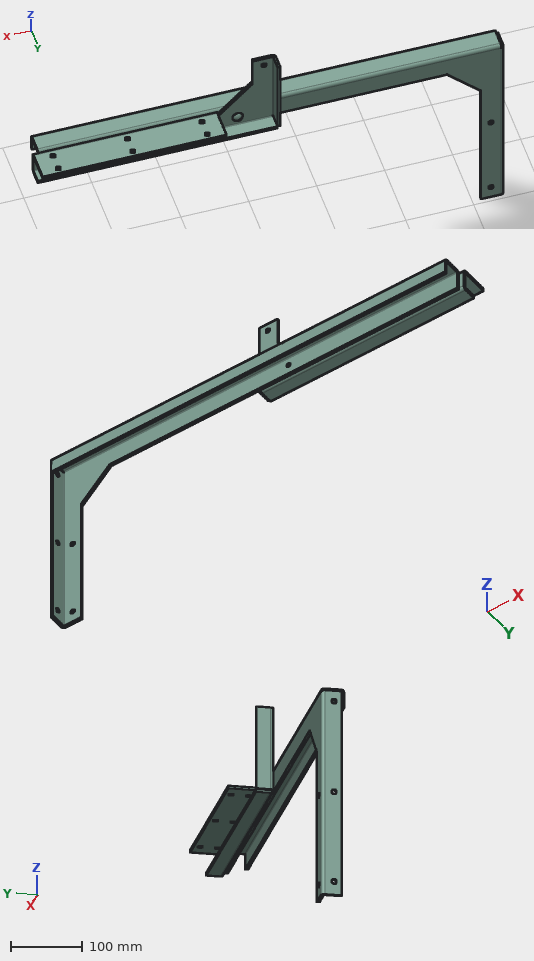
import cadquery as cq

sheet = 4.0
bend_radius = 5.0
hole_diameter = 7.0

length = 694.0
arm_top = 309.0
joint_y = 33.0

arm_end = 685.5
arm_start = 3.5
arm_height = 35.0
lip_height = 26.5
leg_width = 34.0
leg_flange_depth = 29.0
leg_flange_top = arm_top - sheet
leg_gusset = 50.0
leg_web_hole_offset = 19.5
leg_flange_hole_offset = 18.0
leg_hole_heights = [20.0, 154.0]
end_hole_height = 289.0

post_left = 337.0
post_top = 398.0
post_width = 34.0
gusset_top = 352.5
shelf_left = 423.0
shelf_depth = 48.0
stiffener_depth = 25.0
shelf_bottom = 272.0
post_hole_offset = 17.0
post_hole_drop = 13.0

shelf_hole_columns = 3
shelf_hole_pitch = 109.5
shelf_hole_first = 449.0
shelf_hole_rows = [47.0, 72.0]

rivet_x = 393.5
rivet_z = 291.0
rivet_shank_diameter = 6.0
rivet_head_diameter = 15.0
rivet_head_height = 5.0


def bent_flange(corner, outward, extrusion, run, depth):
    """Bend and flange strip that starts at the outer corner line through `corner`.

    `outward` points from the parent sheet to the corner, `extrusion` runs along
    the bend for `run`, and the flange extends `depth` along their cross product.
    """
    inner_radius = bend_radius - sheet
    plane = cq.Plane(origin=corner, xDir=outward, normal=extrusion)
    diagonal = 0.5 ** 0.5
    outer_mid = bend_radius * (1 - diagonal)
    inner_mid = bend_radius - inner_radius * diagonal
    return (
        cq.Workplane(plane)
        .moveTo(-bend_radius, 0)
        .threePointArc((-outer_mid, outer_mid), (0, bend_radius))
        .lineTo(0, depth)
        .lineTo(-sheet, depth)
        .lineTo(-sheet, bend_radius)
        .threePointArc((-inner_mid, inner_mid), (-bend_radius, sheet))
        .close()
        .extrude(run)
    )


def web_plate(outline, front_y):
    """Upright plate with an XZ outline, its front face at `front_y`."""
    plate = cq.Workplane("XZ").polyline(outline).close().extrude(-sheet)
    return plate.translate((0, front_y, 0))


def drill(diameter, start, direction, depth):
    """Cylinder used to cut a round hole."""
    return cq.Workplane(cq.Solid.makeCylinder(diameter / 2, depth, cq.Vector(*start), cq.Vector(*direction)))


def rivet_hole():
    return drill(rivet_shank_diameter, (rivet_x, joint_y - sheet, rivet_z), (0, 1, 0), 2 * sheet)


def make_arm_bracket():
    arm_bottom = arm_top - arm_height
    web_top = arm_top - bend_radius
    web = web_plate(
        [
            (bend_radius, 0),
            (leg_width, 0),
            (leg_width, arm_bottom - leg_gusset),
            (leg_width + leg_gusset, arm_bottom),
            (arm_end, arm_bottom),
            (arm_end, web_top),
            (bend_radius, web_top),
        ],
        joint_y - sheet,
    )
    arm_run = arm_end - arm_start
    top_depth = joint_y - bend_radius
    top_flange = bent_flange((arm_start, joint_y, arm_top), (0, 0, 1), (1, 0, 0), arm_run, top_depth)
    lip = bent_flange((arm_start, 0, arm_top), (0, -1, 0), (1, 0, 0), arm_run, lip_height)
    leg_flange = bent_flange((0, joint_y, 0), (-1, 0, 0), (0, 0, 1), leg_flange_top, leg_flange_depth)
    bracket = web.union(top_flange).union(lip).union(leg_flange)

    for height in leg_hole_heights:
        bracket = bracket.cut(
            drill(hole_diameter, (leg_web_hole_offset, joint_y - sheet, height), (0, 1, 0), sheet)
        )
    for height in leg_hole_heights + [end_hole_height]:
        bracket = bracket.cut(
            drill(hole_diameter, (0, joint_y - leg_flange_hole_offset, height), (1, 0, 0), sheet)
        )
    return bracket.cut(rivet_hole())


def make_shelf_bracket():
    post_right = post_left + post_width
    web_left = post_left + bend_radius
    web_bottom = shelf_bottom + bend_radius
    web_top = arm_top - bend_radius
    web = web_plate(
        [
            (web_left, web_bottom),
            (length, web_bottom),
            (length, web_top),
            (post_right + gusset_top - web_top, web_top),
            (post_right, gusset_top),
            (post_right, post_top),
            (web_left, post_top),
        ],
        joint_y,
    )
    shelf_run = length - shelf_left
    shelf = bent_flange((length, joint_y, arm_top), (0, 0, 1), (-1, 0, 0), shelf_run, shelf_depth)
    bottom_start = post_left + sheet
    bottom_flange = bent_flange(
        (bottom_start, joint_y, shelf_bottom), (0, 0, -1), (1, 0, 0), length - bottom_start, stiffener_depth
    )
    post_run = post_top - shelf_bottom - sheet
    post_flange = bent_flange(
        (post_left, joint_y, post_top), (-1, 0, 0), (0, 0, -1), post_run, stiffener_depth
    )
    bracket = web.union(shelf).union(bottom_flange).union(post_flange)

    post_hole = (post_left + post_hole_offset, joint_y, post_top - post_hole_drop)
    bracket = bracket.cut(drill(hole_diameter, post_hole, (0, 1, 0), sheet))
    for column in range(shelf_hole_columns):
        for row_y in shelf_hole_rows:
            hole = (shelf_hole_first + column * shelf_hole_pitch, row_y, arm_top - sheet)
            bracket = bracket.cut(drill(hole_diameter, hole, (0, 0, 1), sheet))
    return bracket.cut(rivet_hole())


def make_rivet():
    """Domed rivet, flush with the front of the arm web and headed behind the shelf web."""
    shank_radius = rivet_shank_diameter / 2
    head_radius = rivet_head_diameter / 2
    grip = 2 * sheet
    dome_radius = (head_radius ** 2 + rivet_head_height ** 2) / (2 * rivet_head_height)
    dome_centre = grip + rivet_head_height - dome_radius
    mid_x = head_radius / 2
    mid_y = dome_centre + (dome_radius ** 2 - mid_x ** 2) ** 0.5
    profile = (
        cq.Workplane("XY")
        .lineTo(shank_radius, 0)
        .lineTo(shank_radius, grip)
        .lineTo(head_radius, grip)
        .threePointArc((mid_x, mid_y), (0, grip + rivet_head_height))
        .close()
    )
    rivet = profile.revolve(360, (0, 0, 0), (0, 1, 0))
    return rivet.translate((rivet_x, joint_y - sheet, rivet_z))


arm_bracket = make_arm_bracket()
shelf_bracket = make_shelf_bracket()
rivet = make_rivet()

result = cq.Compound.makeCompound([arm_bracket.val(), shelf_bracket.val(), rivet.val()])